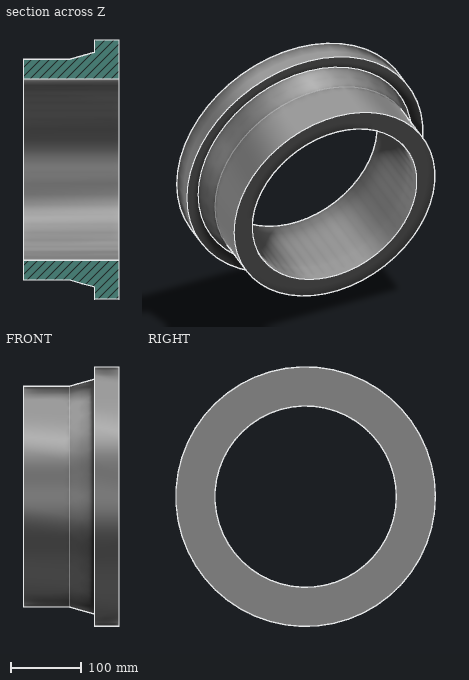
import cadquery as cq

total_length = 136.0
flange_thickness = 35.0
taper_length = 35.5
neck_length = total_length - flange_thickness - taper_length

flange_diameter = 370.0
taper_end_diameter = 335.0
neck_diameter = 315.0
bore_diameter = 258.0

taper_start = neck_length
flange_start = neck_length + taper_length
half_section = [
    (0, bore_diameter / 2),
    (0, neck_diameter / 2),
    (taper_start, neck_diameter / 2),
    (flange_start, taper_end_diameter / 2),
    (flange_start, flange_diameter / 2),
    (total_length, flange_diameter / 2),
    (total_length, bore_diameter / 2),
]

result = (
    cq.Workplane("XY")
    .polyline(half_section)
    .close()
    .revolve(360, (0, 0, 0), (1, 0, 0))
)